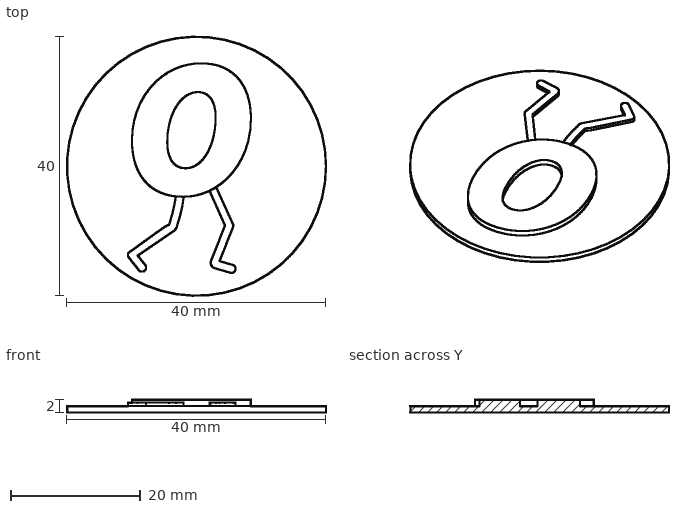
import cadquery as cq

base_diameter = 40
base_thickness = 1.0

ring_height = 1.0
leg_height = 0.55

outer_left = (-9.95, 4.0)
outer_top = (0.7, 15.9)
outer_right = (8.4, 7.3)
outer_bottom = (-2.1, -4.7)
inner_left = (-4.5, 3.7)
inner_top = (0.25, 11.45)
inner_right = (2.95, 7.5)
inner_bottom = (-1.7, -0.3)

long_fullness = 0.56
tight_fullness = 0.63


def between(start, end, share):
    """Point at the given share of the way from start to end."""
    return tuple(a + share * (b - a) for a, b in zip(start, end))


def slanted_oval(left, top, right, bottom):
    """Closed outline of four Bezier quarters joined tangentially at the extreme points."""
    quarters = [
        (left, top, (left[0], top[1]), long_fullness),
        (top, right, (right[0], top[1]), tight_fullness),
        (right, bottom, (right[0], bottom[1]), long_fullness),
        (bottom, left, (left[0], bottom[1]), tight_fullness),
    ]
    outline = cq.Workplane("XY", origin=(0, 0, base_thickness)).moveTo(*left)
    for start, end, corner, fullness in quarters:
        start_handle = between(start, corner, fullness)
        end_handle = between(end, corner, fullness)
        outline = outline.bezier([start, start_handle, end_handle, end])
    return outline.close()


def make_ring():
    outer = slanted_oval(outer_left, outer_top, outer_right, outer_bottom).extrude(ring_height)
    opening = slanted_oval(inner_left, inner_top, inner_right, inner_bottom).extrude(ring_height)
    return outer.cut(opening)


def make_left_leg():
    """Curved thigh, straight shin and a round-ended foot; the hip ends inside the ring."""
    return (
        cq.Workplane("XY", origin=(0, 0, base_thickness))
        .moveTo(-3.1, -4.2)
        .threePointArc((-3.55, -6.65), (-4.25, -9.05))
        .lineTo(-4.9, -9.35)
        .lineTo(-10.45, -13.3)
        .threePointArc((-10.6, -13.7), (-10.45, -14.1))
        .lineTo(-9.0, -15.9)
        .threePointArc((-8.0, -16.1), (-7.9, -15.3))
        .lineTo(-9.1, -13.8)
        .lineTo(-3.4, -9.9)
        .threePointArc((-3.1, -9.55), (-2.95, -9.05))
        .threePointArc((-2.4, -7.1), (-1.9, -4.2))
        .close()
        .extrude(leg_height)
    )


def make_right_leg():
    """Straight thigh and shin with a sharp knee; the hip ends inside the ring."""
    return (
        cq.Workplane("XY", origin=(0, 0, base_thickness))
        .moveTo(1.8, -3.3)
        .lineTo(4.4, -9.15)
        .lineTo(2.25, -14.6)
        .threePointArc((2.3, -15.35), (2.9, -15.75))
        .lineTo(5.25, -16.45)
        .threePointArc((6.0, -16.0), (5.6, -15.25))
        .lineTo(3.55, -14.65)
        .lineTo(5.7, -9.15)
        .lineTo(2.8, -2.7)
        .close()
        .extrude(leg_height)
    )


base = cq.Workplane("XY").circle(base_diameter / 2).extrude(base_thickness)
result = base.union(make_ring()).union(make_left_leg()).union(make_right_leg())